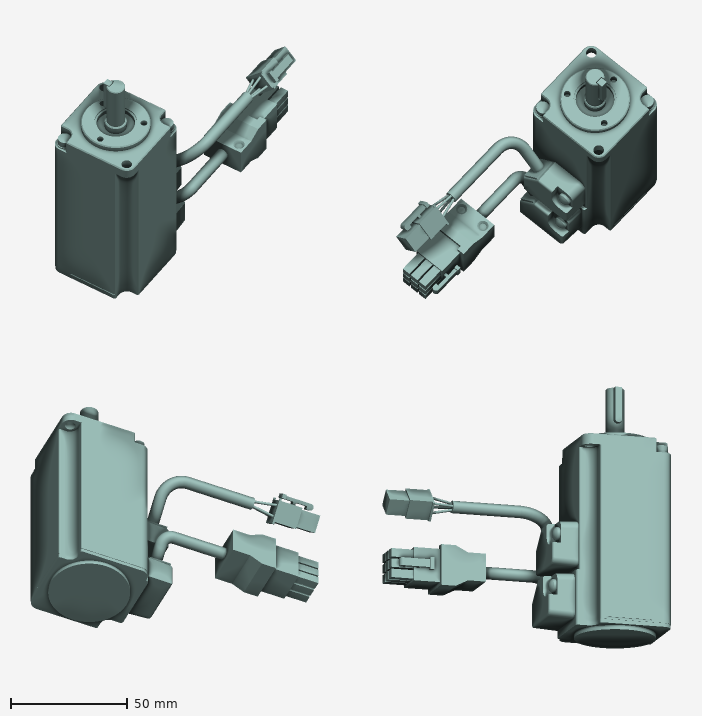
import cadquery as cq
import math


BODY_WIDTH = 40.2
BODY_LENGTH = 40.0
SIDE_X = BODY_WIDTH / 2
SIDE_Y = BODY_LENGTH / 2
EAR_CORNERS = [(-1, 1), (1, -1)]
BOLT_CORNERS = [(-1, -1), (1, 1)]
CORNER_RADIUS = 4.1
FLANGE_THICKNESS = 4.8
FLANGE_CHAMFER = 0.5
LID_BOTTOM = -83.4
BASE_DISC_DIAMETER = 35.3
BASE_DISC_THICKNESS = 1.9
MOUNT_OFFSET = 16.4
MOUNT_HOLE_DIAMETER = 4.5
NOTCH_WALL = 12.7
NOTCH_RADIUS = 3.9
NOTCH_EDGE_RADIUS = 0.7
LID_THICKNESS = 1.6
LID_INSET = 0.2
LID_SLOT_LENGTH = 20.3
LID_SLOT_HEIGHT = 0.5
LID_SLOT_DEPTH = 0.4
LID_SLOT_TOP = -80.7

BOLT_POCKET_DEPTH = 6.3
BOLT_OFFSET = 15.9
BOLT_HEAD_DIAMETER = 5.7
BOLT_HEAD_TOP = -2.8
WASHER_DIAMETER = 6.5
WASHER_THICKNESS = 0.6

PILOT_DIAMETER = 30.0
PILOT_HEIGHT = 2.6
PILOT_CHAMFER = 0.5
RECESS_DIAMETER = 16.6
RECESS_STEP_DIAMETER = 18.3
RECESS_STEP_DEPTH = 0.5
PILOT_HOLE_CIRCLE_RADIUS = 12.1
PILOT_HOLE_COUNT = 3
PILOT_HOLE_FIRST_ANGLE = 30
PILOT_HOLE_DIAMETER = 2.9
PILOT_HOLE_DEPTH = 3.5
COLLAR_DIAMETER = 9.6
COLLAR_TOP = 3.6
COLLAR_CHAMFER = 0.5
SHAFT_DIAMETER = 8.1
SHAFT_TOP = 25.0
SHAFT_CHAMFER = 0.4
KEY_WIDTH = 3.0
KEY_INNER_X = -2.3
KEY_OUTER_X = KEY_INNER_X - KEY_WIDTH
KEY_BOTTOM = 9.3
KEYWAY_CLEARANCE = 0.4

BOX_LEFT = -11.8
BOX_RIGHT = 13.9
BOX_HEIGHT = 20.1
BOX_DEPTH = 11.7
BOX_TAPER = 2.5
BOX_TOP_RADIUS = 3.5
BOX_BOTTOM_RADIUS = 2.6
BOX_EXIT_CHAMFER = 8.6
EXIT_PAD_LENGTH = 9.8
EXIT_PAD_HEIGHT = 0.6
EXIT_PAD_MARGIN = 0.8
BOX_RIM_RADIUS = 0.9
BOX_PITCH = 22.9
UPPER_BOX_TOP = -36.9
LOWER_BOX_SHIFT = 0.9
PLATE_LEFT = -NOTCH_WALL
PLATE_RIGHT = 15.2
PLATE_TOP = -58.9
PLATE_THICKNESS = 1.4
PLATE_EDGE_RADIUS = 1.2
BOX_SCREW_X = -7.6
BOX_SCREW_DROP = 5.7
BOX_SCREW_POCKET_RADIUS = 4.7
BOX_SCREW_POCKET_CORNER = 4.2
BOX_SCREW_POCKET_DEPTH = 3.9
BOX_SCREW_RADIUS = 2.9
BOX_SCREW_RIM = 1.3
BOX_SCREW_HEIGHT = 2.8
BOX_SCREW_DOME_RADIUS = (BOX_SCREW_RADIUS**2 + (BOX_SCREW_HEIGHT - BOX_SCREW_RIM) ** 2) / (
    2 * (BOX_SCREW_HEIGHT - BOX_SCREW_RIM)
)

DIAGONAL = math.sqrt(0.5)
CABLE_RADIUS = 2.7
CABLE_START_X = 8.9
ENCODER_CABLE_X = 24.6
ENCODER_CABLE_Y = 25.6
ENCODER_CABLE_Z = -25.9
ENCODER_BEND_RADIUS = 9.8
ENCODER_CABLE_END = 65.9
MOTOR_CABLE_X = 18.7
MOTOR_CABLE_Y = 26.9
MOTOR_CABLE_Z = -55.6
MOTOR_BEND_RADIUS = 4.5

WIRE_RADIUS = 0.6
WIRE_INNER_OFFSET = 1.3
WIRE_OUTER_OFFSET = 3.6
WIRE_OVERLAP = 0.6
ENCODER_REAR = 75.6
ENCODER_SHELL_FRONT = 86.5
ENCODER_NOSE_FRONT = 95.4
ENCODER_SHELL_WIDTH = 9.5
ENCODER_NOSE_WIDTH = 7.8
ENCODER_RIM_LENGTH = 11.6
ENCODER_RIM_THICKNESS = 0.9
ENCODER_RIM_TAB_WIDTH = 0.7
ENCODER_LATCH_TIP = 92.2

HOOD_REAR = 55.2
HOOD_TAPER_START = 63.3
HOOD_TAPER_END = 68.8
HOOD_FRONT = 75.3
HOOD_WIDTH = 18.9
HOOD_LOW_HEIGHT = 12.4
HOOD_TALL_HEIGHT = 18.0
HOOD_NOTCH_WIDTH = 12.1
HOOD_NOTCH_LENGTH = 2.1
HOOD_SCREW_OFFSET = 6.1
HOOD_SCREW_Y = 58.9
HOOD_SCREW_DIAMETER = 4.9
HOOD_SCREW_FLOOR_DIAMETER = 3.0
HOOD_SCREW_DEPTH = 0.9
MOTOR_SHELL_FRONT = 86.9
MOTOR_SHELL_WIDTH = 14.7
PRONG_FRONT = 96.8
PRONG_WIDTH = 3.7
PRONG_PITCH = 4.5
MOTOR_LATCH_TIP = 94.0

LATCH_LENGTH = 15.2
LATCH_GAP = 1.4
LATCH_ARM_THICKNESS = 1.5
LATCH_ARM_WIDTH = 3.5
LATCH_HOOK_LENGTH = 2.9
LATCH_FOOT_LENGTH = 1.8
LATCH_FOOT_LIP = 0.5
LATCH_FOOT_WIDTH = 5.3
LATCH_POST_DISTANCE = 8.2
LATCH_POST_LENGTH = 1.3


def block(x, y, z):
    """Box between the (low, high) limits given for each axis."""
    sides = (x[1] - x[0], y[1] - y[0], z[1] - z[0])
    return cq.Workplane().box(*sides, centered=False).translate((x[0], y[0], z[0]))


def disc(diameter, bottom, top, x=0.0, y=0.0):
    """Upright cylinder between two heights."""
    return cq.Workplane().center(x, y).circle(diameter / 2).extrude(top - bottom).translate((0, 0, bottom))


def round_upright_edge(body, x, y, radius):
    """Round the vertical edge nearest to (x, y)."""
    middle = body.val().BoundingBox().center.z
    return body.edges("|Z").edges(cq.selectors.NearestToPointSelector((x, y, middle))).fillet(radius)


def notch_corner(body, sign_x, sign_y, bottom, top):
    """Remove a square body corner over a height, rounding the inner corner and the two outer edges."""
    tool = block((NOTCH_WALL, BODY_WIDTH), (NOTCH_WALL, BODY_WIDTH), (bottom, top))
    tool = tool.edges("|Z and <X and <Y").fillet(NOTCH_RADIUS)
    if sign_x < 0:
        tool = tool.mirror("YZ")
    if sign_y < 0:
        tool = tool.mirror("XZ")
    body = body.cut(tool)
    body = round_upright_edge(body, sign_x * SIDE_X, sign_y * NOTCH_WALL, NOTCH_EDGE_RADIUS)
    return round_upright_edge(body, sign_x * NOTCH_WALL, sign_y * SIDE_Y, NOTCH_EDGE_RADIUS)


def body_layer(bottom, top, inset=0.0):
    """Square slab with rounded corners, narrowed by the inset on both X sides."""
    slab = block((inset - SIDE_X, SIDE_X - inset), (-SIDE_Y, SIDE_Y), (bottom, top))
    return slab.edges("|Z").fillet(CORNER_RADIUS)


def notched_layer(bottom, top, corners, inset=0.0):
    """Slab with the listed corners notched."""
    slab = body_layer(bottom, top, inset)
    for sign_x, sign_y in corners:
        slab = notch_corner(slab, sign_x, sign_y, bottom, top)
    return slab


def flange():
    """Mounting flange with two drilled ears and open pockets at the other two corners."""
    plate = notched_layer(-FLANGE_THICKNESS, 0, BOLT_CORNERS)
    plate = plate.faces(">Z").edges().chamfer(FLANGE_CHAMFER)
    for sign_x, sign_y in EAR_CORNERS:
        hole = disc(MOUNT_HOLE_DIAMETER, -FLANGE_THICKNESS, 0, sign_x * MOUNT_OFFSET, sign_y * MOUNT_OFFSET)
        plate = plate.cut(hole)
    return plate


def motor_case():
    """Case notched below the flange ears, pocketed above the bolts, with lid, slots and base disc."""
    lid_top = LID_BOTTOM + LID_THICKNESS
    case = notched_layer(lid_top, -BOLT_POCKET_DEPTH, EAR_CORNERS)
    neck = notched_layer(-BOLT_POCKET_DEPTH, -FLANGE_THICKNESS, EAR_CORNERS + BOLT_CORNERS)
    lid = notched_layer(LID_BOTTOM, lid_top, EAR_CORNERS, LID_INSET)
    base_disc = disc(BASE_DISC_DIAMETER, LID_BOTTOM - BASE_DISC_THICKNESS, LID_BOTTOM)
    case = case.union(neck).union(flange()).union(lid).union(base_disc)

    slot_start = -LID_SLOT_LENGTH / 2
    slot_rise = (LID_SLOT_TOP - LID_SLOT_HEIGHT, LID_SLOT_TOP)
    front_slot = block((slot_start, SIDE_X), (-SIDE_Y, LID_SLOT_DEPTH - SIDE_Y), slot_rise)
    side_slot = block((-SIDE_X, LID_SLOT_DEPTH - SIDE_X), (slot_start, -slot_start), slot_rise)
    return case.cut(front_slot).cut(side_slot)


def bolts():
    """Two clamping bolt heads, each on a washer at the bottom of its corner pocket."""
    heads = cq.Workplane()
    for sign_x, sign_y in BOLT_CORNERS:
        spot = (sign_x * BOLT_OFFSET, sign_y * BOLT_OFFSET)
        washer = disc(WASHER_DIAMETER, -BOLT_POCKET_DEPTH, WASHER_THICKNESS - BOLT_POCKET_DEPTH, *spot)
        head = disc(BOLT_HEAD_DIAMETER, -BOLT_POCKET_DEPTH, BOLT_HEAD_TOP, *spot)
        heads = heads.add(washer.union(head).val())
    return heads.combine()


def pilot():
    """Centring ring with its stepped recess."""
    ring = disc(PILOT_DIAMETER, 0, PILOT_HEIGHT).faces(">Z").edges().chamfer(PILOT_CHAMFER)
    recess = disc(RECESS_DIAMETER, 0, PILOT_HEIGHT)
    step = disc(RECESS_STEP_DIAMETER, PILOT_HEIGHT - RECESS_STEP_DEPTH, PILOT_HEIGHT)
    return ring.cut(recess).cut(step)


def pilot_holes():
    """Cutting tool for the small holes around the pilot."""
    return (
        cq.Workplane("XY", origin=(0, 0, PILOT_HEIGHT - PILOT_HOLE_DEPTH))
        .polarArray(PILOT_HOLE_CIRCLE_RADIUS, PILOT_HOLE_FIRST_ANGLE, 360, PILOT_HOLE_COUNT)
        .circle(PILOT_HOLE_DIAMETER / 2)
        .extrude(PILOT_HOLE_DEPTH)
    )


def key_prism(clearance, outer_x):
    """Key with a half-round lower end; the clearance widens it into a keyway."""
    radius = KEY_WIDTH / 2 + clearance
    end_centre = KEY_BOTTOM + KEY_WIDTH / 2
    inner_x = KEY_INNER_X + clearance
    return (
        cq.Workplane("YZ", origin=(outer_x, 0, 0))
        .moveTo(-radius, SHAFT_TOP)
        .lineTo(-radius, end_centre)
        .threePointArc((0, end_centre - radius), (radius, end_centre))
        .lineTo(radius, SHAFT_TOP)
        .close()
        .extrude(inner_x - outer_x)
    )


def shaft():
    """Shaft and collar with the keyway cut on the -X side."""
    bar = disc(SHAFT_DIAMETER, 0, SHAFT_TOP).faces(">Z").edges().chamfer(SHAFT_CHAMFER)
    collar = disc(COLLAR_DIAMETER, 0, COLLAR_TOP).faces(">Z").edges().chamfer(COLLAR_CHAMFER)
    return bar.union(collar).cut(key_prism(KEYWAY_CLEARANCE, -SHAFT_DIAMETER))


def outlet_box(base_y, top_z):
    """Tapered cover box with a sloped cable face and a screw in a corner pocket."""
    bottom_z = top_z - BOX_HEIGHT
    cover = (
        cq.Workplane("XZ", origin=(0, base_y, 0))
        .moveTo(BOX_LEFT, top_z)
        .lineTo(BOX_RIGHT - BOX_EXIT_CHAMFER, top_z)
        .lineTo(BOX_RIGHT, top_z - BOX_EXIT_CHAMFER)
        .lineTo(BOX_RIGHT, bottom_z)
        .lineTo(BOX_LEFT, bottom_z)
        .close()
        .extrude(-BOX_DEPTH, taper=BOX_TAPER)
    )
    end_y = base_y + BOX_DEPTH
    for z, radius in ((top_z, BOX_TOP_RADIUS), (bottom_z, BOX_BOTTOM_RADIUS)):
        corner = cq.selectors.NearestToPointSelector((BOX_LEFT, base_y + BOX_DEPTH / 2, z))
        cover = cover.edges(corner).fillet(radius)
    cover = cover.faces(">Y").edges().fillet(BOX_RIM_RADIUS)

    slope_x = BOX_RIGHT - BOX_EXIT_CHAMFER / 2
    slope_z = top_z - BOX_EXIT_CHAMFER / 2
    pad = block(
        (-EXIT_PAD_LENGTH / 2, EXIT_PAD_LENGTH / 2),
        (base_y + EXIT_PAD_MARGIN, end_y - EXIT_PAD_MARGIN),
        (-BOX_EXIT_CHAMFER / 2, EXIT_PAD_HEIGHT),
    )
    cover = cover.union(pad.rotate((0, 0, 0), (0, 1, 0), 45).translate((slope_x, 0, slope_z)))

    screw_z = top_z - BOX_SCREW_DROP
    floor_y = end_y - BOX_SCREW_POCKET_DEPTH
    pocket = block(
        (BOX_LEFT, BOX_SCREW_X + BOX_SCREW_POCKET_RADIUS),
        (floor_y, end_y),
        (screw_z - BOX_SCREW_POCKET_RADIUS, top_z),
    )
    pocket = pocket.edges("|Y and >X and <Z").fillet(BOX_SCREW_POCKET_CORNER)
    head = (
        cq.Workplane("XY", origin=(BOX_SCREW_X, floor_y, screw_z))
        .lineTo(BOX_SCREW_RADIUS, 0)
        .lineTo(BOX_SCREW_RADIUS, BOX_SCREW_RIM)
        .radiusArc((0, BOX_SCREW_HEIGHT), -BOX_SCREW_DOME_RADIUS)
        .close()
        .revolve(360, (0, 0, 0), (0, 1, 0))
    )
    return cover.cut(pocket).union(head)


def outlet_plate():
    """Raised pad under the lower outlet box."""
    pad = block(
        (PLATE_LEFT, PLATE_RIGHT),
        (SIDE_Y - NOTCH_EDGE_RADIUS, SIDE_Y + PLATE_THICKNESS),
        (LID_BOTTOM, PLATE_TOP),
    )
    return pad.edges("|Z and >Y").fillet(PLATE_EDGE_RADIUS)


def cable(x, start_y, z, bend_radius, end_y):
    """Round cable that rises at 45 degrees in XZ, then bends to run along +Y at (x, z)."""
    start = cq.Vector(CABLE_START_X, start_y, z - (x - CABLE_START_X))
    bend_start = cq.Vector(x - bend_radius * DIAGONAL, start_y, z - bend_radius * DIAGONAL)
    bend_run = bend_radius * (1 - DIAGONAL) * DIAGONAL
    bend_middle = cq.Vector(x - bend_run, start_y + bend_radius * (1 - DIAGONAL), z - bend_run)
    bend_end = cq.Vector(x, start_y + bend_radius, z)
    path = cq.Wire.assembleEdges([
        cq.Edge.makeLine(start, bend_start),
        cq.Edge.makeThreePointArc(bend_start, bend_middle, bend_end),
        cq.Edge.makeLine(bend_end, cq.Vector(x, end_y, z)),
    ])
    section = cq.Workplane(cq.Plane(start, (0, 1, 0), (1, 0, 1))).circle(CABLE_RADIUS)
    return section.sweep(cq.Workplane(path))


def encoder_wires():
    """Four thin wires that spread from the cable end to the connector."""
    wires = cq.Workplane()
    for i in range(4):
        side_x = math.cos(i * math.pi / 2)
        side_z = math.sin(i * math.pi / 2)
        start = cq.Vector(
            ENCODER_CABLE_X + side_x * WIRE_INNER_OFFSET,
            ENCODER_CABLE_END - WIRE_OVERLAP,
            ENCODER_CABLE_Z + side_z * WIRE_INNER_OFFSET,
        )
        end = cq.Vector(
            ENCODER_CABLE_X + side_x * WIRE_OUTER_OFFSET,
            ENCODER_REAR + WIRE_OVERLAP,
            ENCODER_CABLE_Z + side_z * WIRE_OUTER_OFFSET,
        )
        run = end - start
        wires = wires.add(cq.Solid.makeCylinder(WIRE_RADIUS, run.Length, start, run))
    return wires.combine()


def latch(face_x, tip_y):
    """Spring latch beside a face at face_x that looks toward +X, centred on z = 0."""
    arm_in = face_x + LATCH_GAP
    arm_out = arm_in + LATCH_ARM_THICKNESS
    rear_y = tip_y - LATCH_LENGTH
    half_arm = LATCH_ARM_WIDTH / 2
    half_foot = LATCH_FOOT_WIDTH / 2
    nose_radius = (arm_out - face_x) / 2
    profile = (
        cq.Workplane("XY", origin=(0, 0, -half_arm))
        .moveTo(arm_out, rear_y)
        .lineTo(arm_out, tip_y - nose_radius)
        .threePointArc((face_x + nose_radius, tip_y), (face_x, tip_y - nose_radius))
        .lineTo(face_x, tip_y - LATCH_HOOK_LENGTH)
        .lineTo(arm_in, tip_y - LATCH_HOOK_LENGTH)
        .lineTo(arm_in, rear_y)
        .close()
        .extrude(LATCH_ARM_WIDTH)
    )
    foot = block(
        (arm_in, arm_out + LATCH_FOOT_LIP), (rear_y, rear_y + LATCH_FOOT_LENGTH), (-half_foot, half_foot)
    )
    post_front = tip_y - LATCH_POST_DISTANCE
    post = block((face_x, arm_in), (post_front - LATCH_POST_LENGTH, post_front), (-half_arm, half_arm))
    return profile.union(foot).union(post)


def centred_block(width, rear, front, height):
    """Box centred on the Y axis between two Y positions."""
    return block((-width / 2, width / 2), (rear, front), (-height / 2, height / 2))


def encoder_connector():
    """Small plug, turned 45 degrees about its cable, with its latch on the upper +X side."""
    rim_front = ENCODER_REAR + ENCODER_RIM_THICKNESS
    shell = centred_block(ENCODER_SHELL_WIDTH, ENCODER_REAR, ENCODER_SHELL_FRONT, ENCODER_SHELL_WIDTH)
    nose = centred_block(ENCODER_NOSE_WIDTH, ENCODER_SHELL_FRONT, ENCODER_NOSE_FRONT, ENCODER_NOSE_WIDTH)
    rim = centred_block(ENCODER_RIM_LENGTH, ENCODER_REAR, rim_front, ENCODER_SHELL_WIDTH)
    shell_side = ENCODER_SHELL_WIDTH / 2
    tab_inner = shell_side - ENCODER_RIM_TAB_WIDTH
    rim_gap = block((shell_side, ENCODER_RIM_LENGTH), (ENCODER_REAR, rim_front), (-tab_inner, tab_inner))
    plug = shell.union(nose).union(rim.cut(rim_gap)).union(latch(shell_side, ENCODER_LATCH_TIP))
    return plug.rotate((0, 0, 0), (0, 1, 0), -45).translate((ENCODER_CABLE_X, 0, ENCODER_CABLE_Z))


def motor_connector():
    """Large plug: tapered hood, square shell, nine prongs and a latch on the -X side."""
    half_low = HOOD_LOW_HEIGHT / 2
    half_tall = HOOD_TALL_HEIGHT / 2
    hood = (
        cq.Workplane("YZ", origin=(-HOOD_WIDTH / 2, 0, 0))
        .polyline([
            (HOOD_REAR, -half_low),
            (HOOD_TAPER_START, -half_low),
            (HOOD_TAPER_END, -half_tall),
            (HOOD_FRONT, -half_tall),
            (HOOD_FRONT, half_tall),
            (HOOD_TAPER_END, half_tall),
            (HOOD_TAPER_START, half_low),
            (HOOD_REAR, half_low),
        ])
        .close()
        .extrude(HOOD_WIDTH)
    )
    notch = block(
        (-HOOD_NOTCH_WIDTH / 2, HOOD_NOTCH_WIDTH / 2),
        (HOOD_FRONT - HOOD_NOTCH_LENGTH, HOOD_FRONT),
        (MOTOR_SHELL_WIDTH / 2, half_tall),
    )
    hood = hood.cut(notch)
    for side in (-1, 1):
        floor_centre = cq.Vector(side * HOOD_SCREW_OFFSET, HOOD_SCREW_Y, half_low - HOOD_SCREW_DEPTH)
        screw_hole = cq.Solid.makeCone(
            HOOD_SCREW_FLOOR_DIAMETER / 2, HOOD_SCREW_DIAMETER / 2, HOOD_SCREW_DEPTH, floor_centre
        )
        hood = hood.cut(cq.Workplane(screw_hole))
    shell = centred_block(MOTOR_SHELL_WIDTH, HOOD_FRONT, MOTOR_SHELL_FRONT, MOTOR_SHELL_WIDTH)
    plug = hood.union(shell)

    prong = centred_block(PRONG_WIDTH, MOTOR_SHELL_FRONT, PRONG_FRONT, PRONG_WIDTH)
    for column in (-1, 0, 1):
        for row in (-1, 0, 1):
            plug = plug.union(prong.translate((column * PRONG_PITCH, 0, row * PRONG_PITCH)))

    plug = plug.union(latch(MOTOR_SHELL_WIDTH / 2, MOTOR_LATCH_TIP).mirror("YZ"))
    return plug.translate((MOTOR_CABLE_X, 0, MOTOR_CABLE_Z))


def build_motor():
    """Motor with shaft, outlet boxes, cables and connectors as one solid."""
    body = motor_case().union(bolts()).union(pilot()).cut(pilot_holes()).union(shaft())
    lower_base = SIDE_Y + PLATE_THICKNESS
    body = body.union(outlet_plate())
    body = body.union(outlet_box(SIDE_Y, UPPER_BOX_TOP))
    body = body.union(outlet_box(lower_base, UPPER_BOX_TOP - BOX_PITCH).translate((LOWER_BOX_SHIFT, 0, 0)))
    body = body.union(
        cable(ENCODER_CABLE_X, ENCODER_CABLE_Y, ENCODER_CABLE_Z, ENCODER_BEND_RADIUS, ENCODER_CABLE_END)
    )
    body = body.union(cable(MOTOR_CABLE_X, MOTOR_CABLE_Y, MOTOR_CABLE_Z, MOTOR_BEND_RADIUS, HOOD_REAR))
    return body.union(encoder_wires()).union(encoder_connector()).union(motor_connector())


motor = build_motor()
key = key_prism(0, KEY_OUTER_X)

result = cq.Compound.makeCompound([motor.solids().val(), key.val()])